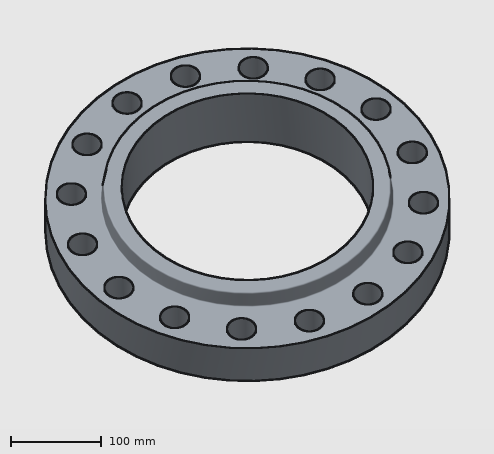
import cadquery as cq

total_height = 79.5
raised_face_height = 6.5
flange_thickness = 53.8
flange_top = raised_face_height + flange_thickness

flange_diameter = 444.5
raised_face_diameter = 324.0
hub_base_diameter = 321.0
hub_top_diameter = 315.5
bore_diameter = 276.5

hub_root_fillet = 1.5
hub_rim_fillet = 1.8

bolt_count = 16
bolt_circle_diameter = 387.0
bolt_hole_diameter = 32.0


def ring_blank():
    """Revolve the half section: raised face, flange and tapered hub around the bore."""
    bore_radius = bore_diameter / 2
    raised_face_radius = raised_face_diameter / 2
    flange_radius = flange_diameter / 2
    section = (
        cq.Workplane("XZ")
        .moveTo(bore_radius, 0)
        .lineTo(raised_face_radius, 0)
        .lineTo(raised_face_radius, raised_face_height)
        .lineTo(flange_radius, raised_face_height)
        .lineTo(flange_radius, flange_top)
        .lineTo(hub_base_diameter / 2, flange_top)
        .lineTo(hub_top_diameter / 2, total_height)
        .lineTo(bore_radius, total_height)
        .close()
    )
    return section.revolve(360, (0, 0, 0), (0, 1, 0))


def round_hub(body):
    """Round the outer rim of the hub and its root on the flange."""
    hub_rim = cq.selectors.RadiusNthSelector(-1)
    body = body.faces(">Z").edges(hub_rim).fillet(hub_rim_fillet)
    flange_face = body.faces(cq.selectors.NearestToPointSelector((0, 0, flange_top)))
    hub_root = cq.selectors.RadiusNthSelector(0)
    return flange_face.edges(hub_root).fillet(hub_root_fillet)


def drill_bolt_holes(body):
    """Drill the evenly spaced bolt holes through the flange, the first one on +X."""
    holes = (
        cq.Workplane("XY")
        .polarArray(bolt_circle_diameter / 2, 0, 360, bolt_count)
        .circle(bolt_hole_diameter / 2)
        .extrude(total_height)
    )
    return body.cut(holes)


result = drill_bolt_holes(round_hub(ring_blank()))